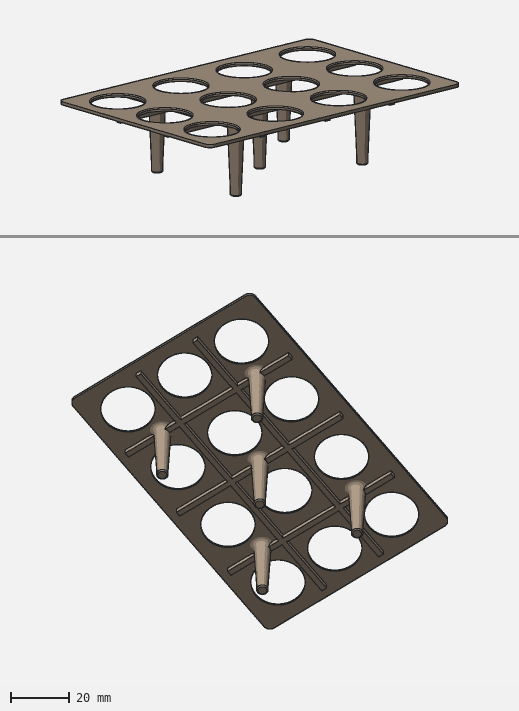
import cadquery as cq
import math

plate_x = 77.0
plate_y = 117.0
plate_thickness = 1.2
corner_radius = 2.5

columns = 3
rows = 4
column_pitch = 24.0
row_pitch = 29.4
hole_diameter = 18.6
hole_chamfer = 0.4

rib_depth = 2.0
rib_thickness = 2.0
rib_row_spacing = 30.1
rib_inset = 4.0

total_height = 27.1
post_spacing_x = 20.0
post_spacing_y = row_pitch
tip_diameter = 4.0
tip_length = 3.0
tip_chamfer = 0.5
root_diameter = 6.0
flare_radius = 2.0


def make_plate():
    """Flat plate with rounded corners."""
    blank = cq.Workplane("XY").box(plate_x, plate_y, plate_thickness, centered=(True, True, False))
    return blank.edges("|Z").fillet(corner_radius).translate((0, 0, -plate_thickness))


def make_holes():
    """Cutters for all holes, each with a chamfer at the top face."""
    hole_radius = hole_diameter / 2
    profile = (
        cq.Workplane("XZ")
        .lineTo(hole_radius + hole_chamfer, 0)
        .lineTo(hole_radius, -hole_chamfer)
        .lineTo(hole_radius, -plate_thickness)
        .lineTo(0, -plate_thickness)
        .close()
    )
    cutter = profile.revolve(360, (0, 0, 0), (0, 1, 0)).val()
    grid = cq.Workplane("XY").rarray(column_pitch, row_pitch, columns, rows)
    return grid.eachpoint(lambda place: cutter.moved(place))


def make_ribs():
    """Crossing ribs: one between each pair of columns and of rows."""
    layout = cq.Workplane("XY").workplane(offset=-plate_thickness)
    along_y = layout.rarray(column_pitch, 1.2, columns - 1, 1)
    ribs = along_y.rect(rib_thickness, plate_y - 2 * rib_inset).extrude(-rib_depth)
    along_x = layout.rarray(1.2, rib_row_spacing, 1, rows - 1)
    return ribs.union(along_x.rect(plate_x - 2 * rib_inset, rib_thickness).extrude(-rib_depth))


def make_post():
    """Tapered post with a flared root and a short cylindrical tip."""
    root_radius = root_diameter / 2
    tip_radius = tip_diameter / 2
    tip_top = tip_length - total_height
    taper = math.atan((root_radius - tip_radius) / (-plate_thickness - tip_top))

    centre_z = -plate_thickness - flare_radius
    centre_x = root_radius - flare_radius * math.tan(taper) + flare_radius / math.cos(taper)
    flare_end_x = centre_x - flare_radius * math.cos(taper)
    flare_end_z = centre_z + flare_radius * math.sin(taper)

    profile = (
        cq.Workplane("XZ")
        .moveTo(0, -plate_thickness)
        .lineTo(centre_x, -plate_thickness)
        .radiusArc((flare_end_x, flare_end_z), -flare_radius)
        .lineTo(tip_radius, tip_top)
        .lineTo(tip_radius, tip_chamfer - total_height)
        .lineTo(tip_radius - tip_chamfer, -total_height)
        .lineTo(0, -total_height)
        .close()
    )
    return profile.revolve(360, (0, 0, 0), (0, 1, 0))


post_places = [(0, 0)]
for side_x in (-1, 1):
    for side_y in (-1, 1):
        post_places.append((side_x * post_spacing_x, side_y * post_spacing_y))

result = make_plate().cut(make_holes()).union(make_ribs())
for x, y in post_places:
    result = result.union(make_post().translate((x, y, 0)))